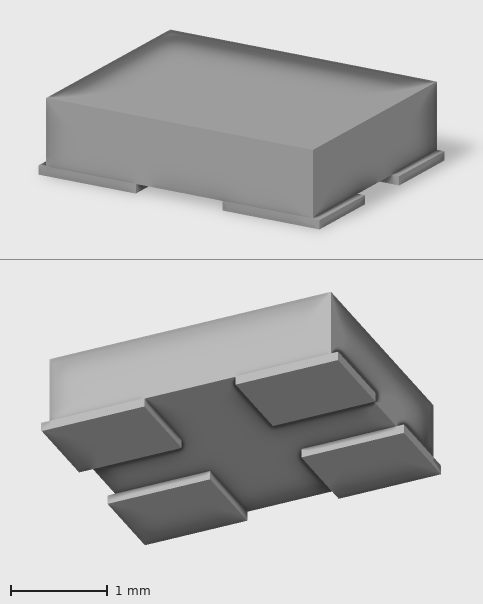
import cadquery as cq

overall_length = 3.37
overall_width = 2.52
overall_height = 0.85

housing_length = 3.198
housing_width = 2.5

pad_length = 1.165
pad_width = 0.913
pad_thickness = 0.1

housing_height = overall_height - pad_thickness
pad_offset_x = (overall_length - pad_length) / 2
pad_offset_y = (overall_width - pad_width) / 2


def make_housing():
    """Plain block whose underside sits on top of the pads."""
    return (
        cq.Workplane("XY")
        .workplane(offset=pad_thickness)
        .rect(housing_length, housing_width)
        .extrude(housing_height)
    )


def make_pad(center_x, center_y):
    """Flat rectangular pad standing on the base plane."""
    return (
        cq.Workplane("XY")
        .center(center_x, center_y)
        .rect(pad_length, pad_width)
        .extrude(pad_thickness)
    )


housing = make_housing()

pads = []
for side_x in (-1, 1):
    for side_y in (-1, 1):
        pads.append(make_pad(side_x * pad_offset_x, side_y * pad_offset_y))

result = cq.Compound.makeCompound([housing.val(), *[pad.val() for pad in pads]])